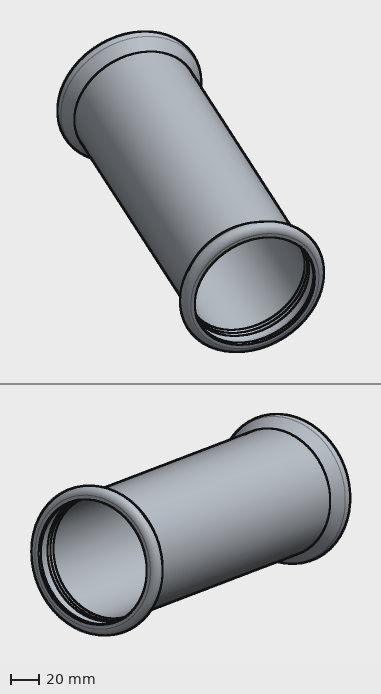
import cadquery as cq
import math

length = 260.0
tube_radius = 93.5 / 2
bore_radius = 89.7 / 2
socket_radius = 91.5 / 2

groove_start = 2.9
groove_end = 11.7
groove_depth = 1.0

seat_start = 15.5
seat_end = 18.2

collar_radius = 109.2 / 2
bead_radius = 5.7
cone_end = 18.5


def outer_tube():
    """Solid tube body with a beaded collar at both ends."""
    center = (bead_radius, collar_radius - bead_radius)
    foot = (cone_end, tube_radius)

    run = foot[0] - center[0]
    drop = foot[1] - center[1]
    angle = math.atan2(drop, run) + math.acos(bead_radius / math.hypot(run, drop))
    touch = (
        center[0] + bead_radius * math.cos(angle),
        center[1] + bead_radius * math.sin(angle),
    )
    crown = (center[0], collar_radius)

    def far(point):
        return (length - point[0], point[1])

    profile = (
        cq.Workplane("XY")
        .lineTo(0, center[1])
        .threePointArc(crown, touch)
        .lineTo(*foot)
        .lineTo(*far(foot))
        .lineTo(*far(touch))
        .threePointArc(far(crown), (length, center[1]))
        .lineTo(length, 0)
        .close()
    )
    return profile.revolve(360, (0, 0, 0), (1, 0, 0)).translate((-length / 2, 0, 0))


def socket_cavity():
    """Cavity of the left half: socket, seal groove, tapered seat and bore."""
    groove_middle = (groove_start + groove_end) / 2
    profile = (
        cq.Workplane("XY")
        .lineTo(0, socket_radius)
        .lineTo(groove_start, socket_radius)
        .threePointArc(
            (groove_middle, socket_radius + groove_depth),
            (groove_end, socket_radius),
        )
        .lineTo(seat_start, socket_radius)
        .lineTo(seat_end, bore_radius)
        .lineTo(length / 2, bore_radius)
        .lineTo(length / 2, 0)
        .close()
    )
    return profile.revolve(360, (0, 0, 0), (1, 0, 0)).translate((-length / 2, 0, 0))


cavity = socket_cavity()
result = outer_tube().cut(cavity).cut(cavity.mirror("YZ"))